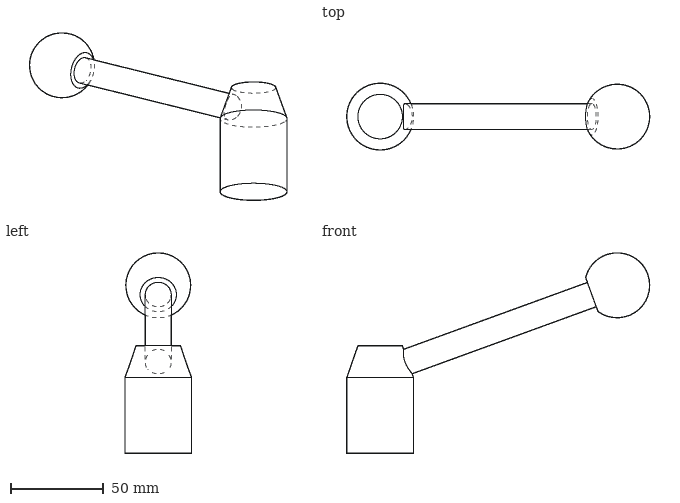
import cadquery as cq
import math

hub_diameter = 36.0
hub_top_diameter = 24.0
shoulder_height = 40.8
hub_height = 58.0

overall_length = 163.0
overall_height = 107.9
ball_diameter = 35.0
ball_flat_diameter = 19.5

rod_diameter = 14.0
rod_angle = 20.0

hub_radius = hub_diameter / 2
ball_radius = ball_diameter / 2
ball_x = overall_length - hub_radius - ball_radius
ball_z = overall_height - ball_radius
ball_flat_distance = math.sqrt(ball_radius**2 - (ball_flat_diameter / 2) ** 2)
rod_length = ball_x / math.cos(math.radians(rod_angle))
rod_start_z = ball_z - ball_x * math.tan(math.radians(rod_angle))


def make_hub():
    """Revolve the cylinder and its tapered top about Z."""
    profile = [
        (0, 0),
        (hub_radius, 0),
        (hub_radius, shoulder_height),
        (hub_top_diameter / 2, hub_height),
        (0, hub_height),
    ]
    return cq.Workplane("XZ").polyline(profile).close().revolve(360, (0, 0), (0, 1))


def make_arm():
    """Build the rod and flatted ball along X, then tilt them into place."""
    rod = cq.Workplane("YZ").circle(rod_diameter / 2).extrude(rod_length)
    flat_x = rod_length - ball_flat_distance
    ball = (
        cq.Workplane("XZ")
        .moveTo(flat_x, 0)
        .lineTo(flat_x, ball_flat_diameter / 2)
        .threePointArc((rod_length, ball_radius), (rod_length + ball_radius, 0))
        .close()
        .revolve(360, (0, 0), (1, 0))
    )
    arm = rod.union(ball)
    return arm.rotate((0, 0, 0), (0, 1, 0), -rod_angle).translate((0, 0, rod_start_z))


result = make_hub().union(make_arm())